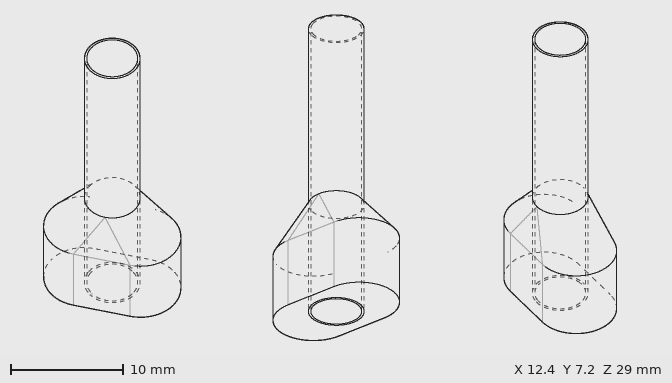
import cadquery as cq

total_height = 29.0
collar_length = 12.4
collar_width = 7.2

skirt_height = 6.6
collar_height = 10.95

tube_diameter = 4.95
tube_bore = 4.52

end_radius = collar_width / 2
tube_radius = tube_diameter / 2
end_offset = collar_length / 2 - end_radius


def make_tube():
    """Thin metal tube that runs the full height of the ferrule."""
    return (
        cq.Workplane("XY")
        .circle(tube_radius)
        .circle(tube_bore / 2)
        .extrude(total_height)
    )


def make_skirt():
    """Straight lower part of the collar, with two round ends."""
    return cq.Workplane("XY").slot2D(collar_length, collar_width).extrude(skirt_height)


def half_circle(center_x, radius, height, side):
    """Half circle bulging toward +X (side = 1) or -X (side = -1)."""
    start = cq.Vector(center_x, -radius, height)
    middle = cq.Vector(center_x + side * radius, 0, height)
    end = cq.Vector(center_x, radius, height)
    return cq.Edge.makeThreePointArc(start, middle, end)


def make_shoulder():
    """Taper from the skirt outline to the tube: two oblique half cones and two flat triangles."""
    faces = []
    base_edges = []
    top_edges = []
    for side in (-1, 1):
        base_arc = half_circle(side * end_offset, end_radius, skirt_height, side)
        top_arc = half_circle(0, tube_radius, collar_height, side)
        faces.append(cq.Face.makeRuledSurface(base_arc, top_arc))
        base_edges.append(base_arc)
        top_edges.append(top_arc)

        left = cq.Vector(-end_offset, side * end_radius, skirt_height)
        right = cq.Vector(end_offset, side * end_radius, skirt_height)
        apex = cq.Vector(0, side * tube_radius, collar_height)
        faces.append(cq.Face.makeFromWires(cq.Wire.makePolygon([left, right, apex], close=True)))
        base_edges.append(cq.Edge.makeLine(left, right))

    for edges in (base_edges, top_edges):
        faces.append(cq.Face.makeFromWires(cq.Wire.combine(edges)[0]))
    shell = cq.Shell.makeShell(faces)
    return cq.Workplane("XY").add(cq.Solid.makeSolid(shell).fix())


def make_collar():
    """Plastic collar, bored to fit around the tube."""
    bore = cq.Workplane("XY").circle(tube_radius).extrude(collar_height)
    return make_skirt().union(make_shoulder()).cut(bore).solids()


tube = make_tube()
collar = make_collar()

result = cq.Compound.makeCompound([tube.val(), collar.val()])